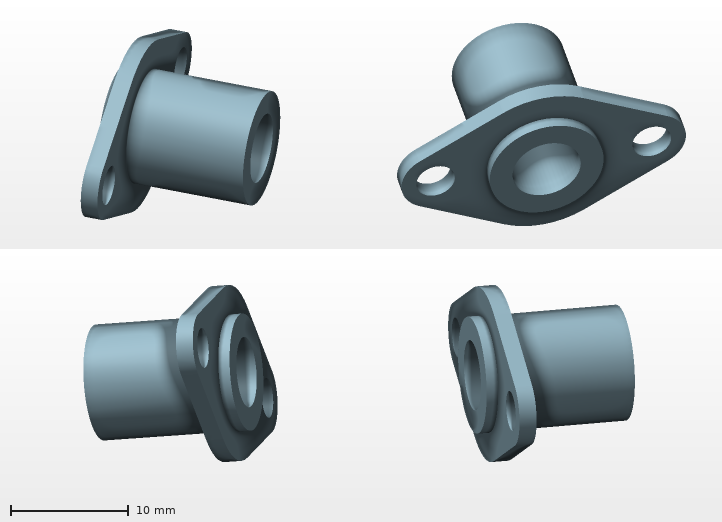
import cadquery as cq
import math

collar_length = 1.0
flange_thickness = 1.5
overall_length = 13.0

collar_diameter = 10.0
tube_diameter = 9.9
bore_diameter = 6.0
tube_root_fillet = 0.05

flange_radius = 7.5
ear_radius = 3.0
ear_offset = 9.5
mounting_hole_diameter = 3.4

flange_start = collar_length
flange_end = flange_start + flange_thickness
tube_length = overall_length - flange_end


def cylinder(start_x, length, diameter, center_y=0.0):
    """Solid cylinder parallel to X, starting at start_x."""
    return (
        cq.Workplane("YZ", origin=(start_x, center_y, 0))
        .circle(diameter / 2)
        .extrude(length)
    )


def make_flange():
    """Rhombic plate whose straight edges are tangent to the central and end arcs."""
    normal_y = (flange_radius - ear_radius) / ear_offset
    normal_z = math.sqrt(1 - normal_y**2)
    center_y = flange_radius * normal_y
    center_z = flange_radius * normal_z
    ear_y = ear_offset + ear_radius * normal_y
    ear_z = ear_radius * normal_z
    tip_y = ear_offset + ear_radius
    return (
        cq.Workplane("YZ", origin=(flange_start, 0, 0))
        .moveTo(-center_y, center_z)
        .threePointArc((0, flange_radius), (center_y, center_z))
        .lineTo(ear_y, ear_z)
        .threePointArc((tip_y, 0), (ear_y, -ear_z))
        .lineTo(center_y, -center_z)
        .threePointArc((0, -flange_radius), (-center_y, -center_z))
        .lineTo(-ear_y, -ear_z)
        .threePointArc((-tip_y, 0), (-ear_y, ear_z))
        .close()
        .extrude(flange_thickness)
    )


collar = cylinder(0, collar_length, collar_diameter)
tube = cylinder(flange_end, tube_length, tube_diameter)

tube_root = cq.selectors.NearestToPointSelector((flange_end, 0, 0))
result = make_flange().union(tube).edges(tube_root).fillet(tube_root_fillet)
result = result.union(collar)

result = result.cut(cylinder(0, overall_length, bore_diameter))
for side in (-1, 1):
    mounting_hole = cylinder(
        flange_start, flange_thickness, mounting_hole_diameter, side * ear_offset
    )
    result = result.cut(mounting_hole)